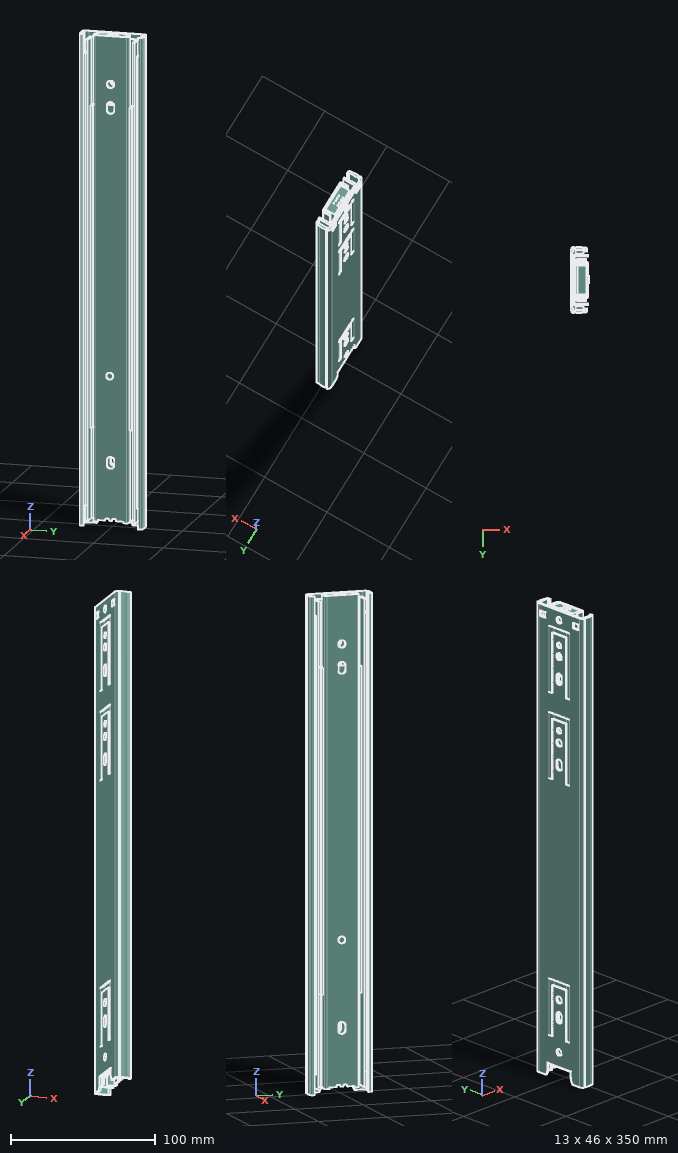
import cadquery as cq


LENGTH = 350.0
DEPTH = 13.0
HEIGHT = 46.0
SHEET = 1.5
OVERSHOOT = 3.5

TOP = LENGTH / 2
BOTTOM = -LENGTH / 2
BACK = -DEPTH / 2
FRONT = DEPTH / 2

FLANGE_Y = HEIGHT / 2
BEND_X = 1.8
BEND_Y = 3.0
BEND_RADIUS = 3.5
BEAD_WIDTH = 0.5
GROOVE_WIDTH = 1.0
GROOVE_DEPTH = 1.0
BULGE_WIDTH = 5.2
BULGE_RISE = 0.5
LIP_X = 5.0
LIP_RADIUS = 1.5
LIP_Y = 19.5
FLANGE_INSIDE_Y = 21.0

END_NOTCH_WIDTH = 23.0
END_NOTCH_DEPTH = 9.5
MOUTH_FLARE = 1.5
MOUTH_HEIGHT = 2.8
LATCH_HOLE_WIDTH = 5.2
LATCH_HOLE_HEIGHT = 4.2
LATCH_HOLE_Y = 16.0
LATCH_HOLE_Z = 168.0

PAD_TROUGH_WIDTH = 20.3
PAD_WIDTH = 13.5
PAD_TROUGH_TOP = 4.2
PAD_TROUGH_DEPTH = 1.0
PAD_WALL_SLOPE = 4.2
LONG_PAD = 49.5
SHORT_PAD = 42.5
PADS = [(161.0, LONG_PAD), (96.5, LONG_PAD), (-102.2, SHORT_PAD)]

PILOT_HOLE = 4.2
SCREW_HOLE = 5.2
END_HOLE = 5.0
SLOT_LENGTH = 8.5
PILOT_HOLES_Z = [149.0, 85.5]
SCREW_HOLES_Z = [140.7, 76.3, -115.5]
SCREW_SLOTS_Z = [124.0, 60.0, -128.8]
END_HOLES_Z = [168.0, -154.7]

MIDDLE_BACK = -5.0
MIDDLE_FRONT = 5.5
MIDDLE_Y = 17.5
MIDDLE_TOP = 171.5
MIDDLE_BEND = 1.5
MIDDLE_BOTTOM = -171.0
MIDDLE_NOTCH_WIDTH = 19.0
MIDDLE_NOTCH_DEPTH = 4.2

INNER_FRONT = 5.5
INNER_BACK = -0.7
INNER_Y = 12.5
INNER_BEND = 1.5
INNER_BOTTOM = -171.0
INNER_NOTCH_WIDTH = 18.2
INNER_NOTCH_DEPTH = 1.0
END_RELIEF_DIAMETER = 3.0
END_RELIEF_Y = 2.5
STUD_DIAMETER = 5.0
STUD_Y = -0.5
STUD_Z = -67.0

ACCESS_HOLES_Z = [SCREW_HOLES_Z[0]]
ACCESS_SLOTS_Z = [SCREW_SLOTS_Z[0], SCREW_SLOTS_Z[2]]

STRIP_BACK = -3.0
STRIP_FRONT = 2.5
STRIP_INSIDE_Y = 18.0
STRIP_OUTSIDE_Y = 20.5
STRIP_TOP = 161.0
STRIP_BOTTOM = -161.0

CAGE_BACK = -2.8
CAGE_FRONT = 4.2
CAGE_Y = 14.7
CAGE_SHEET = 1.5
CAGE_TOP = 124.2
CAGE_BOTTOM = -105.0

BUMPER_BACK = -3.0
BUMPER_FRONT = INNER_FRONT - SHEET
BUMPER_WIDTH = 20.3
BUMPER_TOP = TOP
BUMPER_BOTTOM = 155.8
DIMPLE_DIAMETER = 0.7
DIMPLE_DEPTH = 0.7
DIMPLE_PITCH_X = 3.0
DIMPLE_PITCH_Y = 2.0
DIMPLE_COLUMNS = 2
DIMPLE_ROWS = 4


def box(x_range, y_range, z_range):
    """Box between the given limits along X, Y and Z."""
    (x0, x1), (y0, y1), (z0, z1) = x_range, y_range, z_range
    return cq.Workplane("XY").box(x1 - x0, y1 - y0, z1 - z0, centered=False).translate((x0, y0, z0))


def channel(back, front, half_height, bend, sheet, bottom, top):
    """Channel open toward +X, with rounded outer bends."""
    body = box((back, front), (-half_height, half_height), (bottom, top)).edges("|Z and <X").fillet(bend)
    inside_y = half_height - sheet
    hollow = box((back + sheet, front + OVERSHOOT), (-inside_y, inside_y), (bottom, top))
    return body.cut(hollow)


def end_notch(width, bottom, depth):
    """Cutter for a notch at the bottom end, through everything along X."""
    x_range = (BACK - OVERSHOOT, FRONT + OVERSHOOT)
    y_range = (-width / 2, width / 2)
    return box(x_range, y_range, (bottom - OVERSHOOT, bottom + depth))


def round_holes(diameter, heights):
    """Cutter for holes along X on the centre line."""
    centers = [(0, z) for z in heights]
    drill = cq.Workplane("YZ").workplane(offset=BACK - OVERSHOOT).pushPoints(centers)
    return drill.circle(diameter / 2).extrude(DEPTH + 2 * OVERSHOOT)


def upright_slots(heights):
    """Cutter for screw slots along X on the centre line, long along Z."""
    centers = [(0, z) for z in heights]
    drill = cq.Workplane("YZ").workplane(offset=BACK - OVERSHOOT).pushPoints(centers)
    return drill.slot2D(SLOT_LENGTH, SCREW_HOLE, 90).extrude(DEPTH + 2 * OVERSHOOT)


def outer_half():
    """The half of the outer rail on the +Y side of its centre line."""
    bend_end = BACK + BEND_X
    groove_start = bend_end + BEAD_WIDTH
    groove_end = groove_start + GROOVE_WIDTH
    track_y = FLANGE_Y - BULGE_RISE
    bulge_end = groove_end + BULGE_WIDTH
    web_inside_y = FLANGE_INSIDE_Y - BEND_Y + SHEET / 2
    profile = (
        cq.Workplane("XY")
        .workplane(offset=BOTTOM)
        .moveTo(BACK, 0)
        .lineTo(BACK, FLANGE_Y - BEND_Y)
        .radiusArc((bend_end, FLANGE_Y), BEND_RADIUS)
        .lineTo(groove_start, FLANGE_Y)
        .lineTo(groove_start, FLANGE_Y - GROOVE_DEPTH)
        .lineTo(groove_end, FLANGE_Y - GROOVE_DEPTH)
        .lineTo(groove_end, track_y)
        .threePointArc((groove_end + BULGE_WIDTH / 2, FLANGE_Y), (bulge_end, track_y))
        .lineTo(LIP_X - LIP_RADIUS, track_y)
        .radiusArc((LIP_X, track_y - LIP_RADIUS), LIP_RADIUS)
        .lineTo(LIP_X, LIP_Y)
        .lineTo(LIP_X - SHEET, LIP_Y)
        .lineTo(LIP_X - SHEET, FLANGE_INSIDE_Y)
        .lineTo(groove_start, FLANGE_INSIDE_Y)
        .lineTo(BACK + SHEET, web_inside_y)
        .lineTo(BACK + SHEET, 0)
        .close()
    )
    return profile.extrude(LENGTH)


def pad_trough(top, length):
    """Cutter for the U-shaped trough around the top and sides of a mounting pad."""
    half = PAD_TROUGH_WIDTH / 2
    floor_half = half - PAD_WALL_SLOPE
    floor_x = BACK + PAD_TROUGH_DEPTH
    basin = (
        cq.Workplane("XY")
        .workplane(offset=top - length)
        .polyline([(BACK, -half), (floor_x, -floor_half), (floor_x, floor_half), (BACK, half)])
        .close()
        .extrude(length)
    )
    pad = box(
        (BACK - OVERSHOOT, floor_x + OVERSHOOT),
        (-PAD_WIDTH / 2, PAD_WIDTH / 2),
        (top - length - OVERSHOOT, top - PAD_TROUGH_TOP),
    )
    return basin.cut(pad)


def latch_holes():
    """Cutter for the two rectangular holes beside the flanges at the top end."""
    centers = [(side * LATCH_HOLE_Y, LATCH_HOLE_Z) for side in (-1, 1)]
    drill = cq.Workplane("YZ").workplane(offset=BACK - OVERSHOOT).pushPoints(centers)
    return drill.rect(LATCH_HOLE_WIDTH, LATCH_HOLE_HEIGHT).extrude(SHEET + 2 * OVERSHOOT)


def end_notch_mouth():
    """Cutter that widens the outer rail's end notch with a chamfer on each side."""
    half = END_NOTCH_WIDTH / 2
    mouth = (
        cq.Workplane("YZ")
        .workplane(offset=BACK - OVERSHOOT)
        .moveTo(-half - MOUTH_FLARE, BOTTOM)
        .lineTo(half + MOUTH_FLARE, BOTTOM)
        .lineTo(half, BOTTOM + MOUTH_HEIGHT)
        .lineTo(-half, BOTTOM + MOUTH_HEIGHT)
        .close()
    )
    return mouth.extrude(SHEET + 2 * OVERSHOOT)


def make_outer_rail():
    half = outer_half()
    rail = half.union(half.mirror("XZ")).clean()
    rail = rail.cut(end_notch(END_NOTCH_WIDTH, BOTTOM, END_NOTCH_DEPTH)).cut(end_notch_mouth())
    rail = rail.cut(latch_holes())
    for top, length in PADS:
        rail = rail.cut(pad_trough(top, length))
    rail = rail.cut(round_holes(PILOT_HOLE, PILOT_HOLES_Z))
    rail = rail.cut(round_holes(SCREW_HOLE, SCREW_HOLES_Z))
    rail = rail.cut(upright_slots(SCREW_SLOTS_Z))
    return rail.cut(round_holes(END_HOLE, END_HOLES_Z))


def make_middle_rail():
    rail = channel(MIDDLE_BACK, MIDDLE_FRONT, MIDDLE_Y, MIDDLE_BEND, SHEET, MIDDLE_BOTTOM, MIDDLE_TOP)
    rail = rail.cut(end_notch(MIDDLE_NOTCH_WIDTH, MIDDLE_BOTTOM, MIDDLE_NOTCH_DEPTH))
    return rail.cut(round_holes(SCREW_HOLE, ACCESS_HOLES_Z)).cut(upright_slots(ACCESS_SLOTS_Z))


def end_reliefs():
    """Cutter for two half-round reliefs in the bottom edge of the inner rail web."""
    edge_z = INNER_BOTTOM + INNER_NOTCH_DEPTH
    centers = [(side * END_RELIEF_Y, edge_z) for side in (-1, 1)]
    drill = cq.Workplane("YZ").workplane(offset=INNER_FRONT - SHEET - OVERSHOOT).pushPoints(centers)
    return drill.circle(END_RELIEF_DIAMETER / 2).extrude(SHEET + 2 * OVERSHOOT)


def make_inner_rail():
    facing_back = channel(-INNER_FRONT, -INNER_BACK, INNER_Y, INNER_BEND, SHEET, INNER_BOTTOM, TOP)
    rail = facing_back.mirror("YZ")
    rail = rail.cut(end_notch(INNER_NOTCH_WIDTH, INNER_BOTTOM, INNER_NOTCH_DEPTH)).cut(end_reliefs())
    rail = rail.cut(round_holes(SCREW_HOLE, ACCESS_HOLES_Z)).cut(upright_slots(ACCESS_SLOTS_Z))
    stud_base = cq.Workplane("YZ").workplane(offset=INNER_FRONT).center(STUD_Y, STUD_Z)
    return rail.union(stud_base.circle(STUD_DIAMETER / 2).extrude(FRONT - INNER_FRONT))


def make_ball_strip(side):
    y_range = sorted((side * STRIP_INSIDE_Y, side * STRIP_OUTSIDE_Y))
    return box((STRIP_BACK, STRIP_FRONT), y_range, (STRIP_BOTTOM, STRIP_TOP))


def make_inner_cage():
    return channel(CAGE_BACK, CAGE_FRONT, CAGE_Y, CAGE_SHEET, CAGE_SHEET, CAGE_BOTTOM, CAGE_TOP)


def make_bumper():
    half = BUMPER_WIDTH / 2
    block = box((BUMPER_BACK, BUMPER_FRONT), (-half, half), (BUMPER_BOTTOM, BUMPER_TOP))
    top_face = cq.Workplane("XY").workplane(offset=BUMPER_TOP)
    grid = top_face.rarray(DIMPLE_PITCH_X, DIMPLE_PITCH_Y, DIMPLE_COLUMNS, DIMPLE_ROWS)
    return block.cut(grid.circle(DIMPLE_DIAMETER / 2).extrude(-DIMPLE_DEPTH))


outer_rail = make_outer_rail()
middle_rail = make_middle_rail()
inner_rail = make_inner_rail()
ball_strips = [make_ball_strip(side) for side in (-1, 1)]
inner_cage = make_inner_cage()
bumper = make_bumper()

result = cq.Compound.makeCompound(
    [
        outer_rail.val(),
        middle_rail.val(),
        inner_rail.val(),
        *[strip.val() for strip in ball_strips],
        inner_cage.val(),
        bumper.val(),
    ]
)